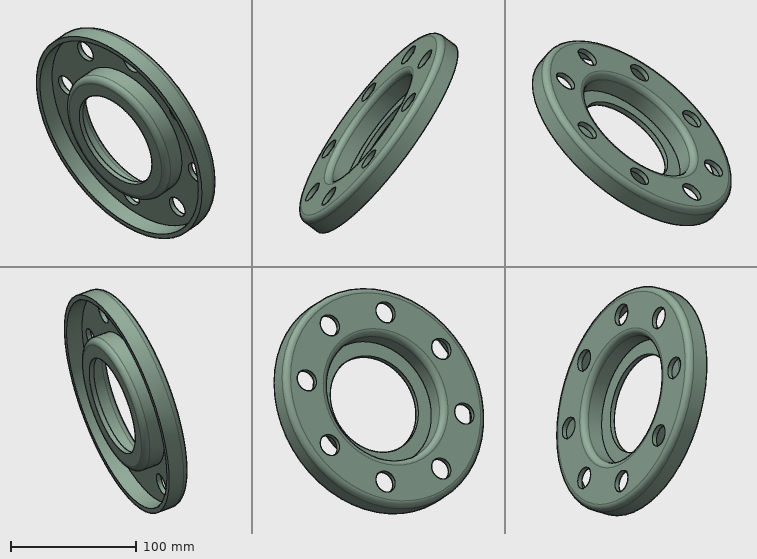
import cadquery as cq

outer_diameter = 185.0
total_depth = 22.0
boss_projection = 4.0
wall = 4.0
edge_radius = 5.0

boss_diameter = 113.0
bore_diameter = 81.0

hole_diameter = 17.5
hole_circle_diameter = 145.0
hole_count = 8

outer_radius = outer_diameter / 2
boss_radius = boss_diameter / 2
rim_depth = total_depth - boss_projection


def cylinder(radius, start, end):
    """Solid cylinder about the Y axis between two Y positions."""
    return cq.Workplane("XZ", origin=(0, end, 0)).circle(radius).extrude(end - start)


def rim_and_plate():
    """Shallow dish, open toward -Y, with a rounded back edge."""
    dish = cylinder(outer_radius, -rim_depth, 0).faces(">Y").edges().fillet(edge_radius)
    return dish.cut(cylinder(outer_radius - wall, -rim_depth, -wall))


def boss():
    """Raised boss with a rounded front edge."""
    return cylinder(boss_radius, -total_depth, 0).faces("<Y").edges().fillet(edge_radius)


def boss_recess():
    """Hollow behind the boss face, flaring out with a rounded mouth at the back."""
    recess_radius = boss_radius - wall
    face_back = wall - total_depth
    profile = (
        cq.Workplane("XY")
        .moveTo(0, face_back)
        .lineTo(recess_radius, face_back)
        .lineTo(recess_radius, -edge_radius)
        .radiusArc((recess_radius + edge_radius, 0), edge_radius)
        .lineTo(0, 0)
        .close()
    )
    return profile.revolve(360, (0, 0, 0), (0, 1, 0))


def bolt_holes():
    """Ring of through holes in the plate."""
    return (
        cq.Workplane("XZ")
        .polarArray(hole_circle_diameter / 2, 0, 360, hole_count)
        .circle(hole_diameter / 2)
        .extrude(wall)
    )


result = (
    rim_and_plate()
    .union(boss())
    .cut(boss_recess())
    .cut(cylinder(bore_diameter / 2, -total_depth, 0))
    .cut(bolt_holes())
)